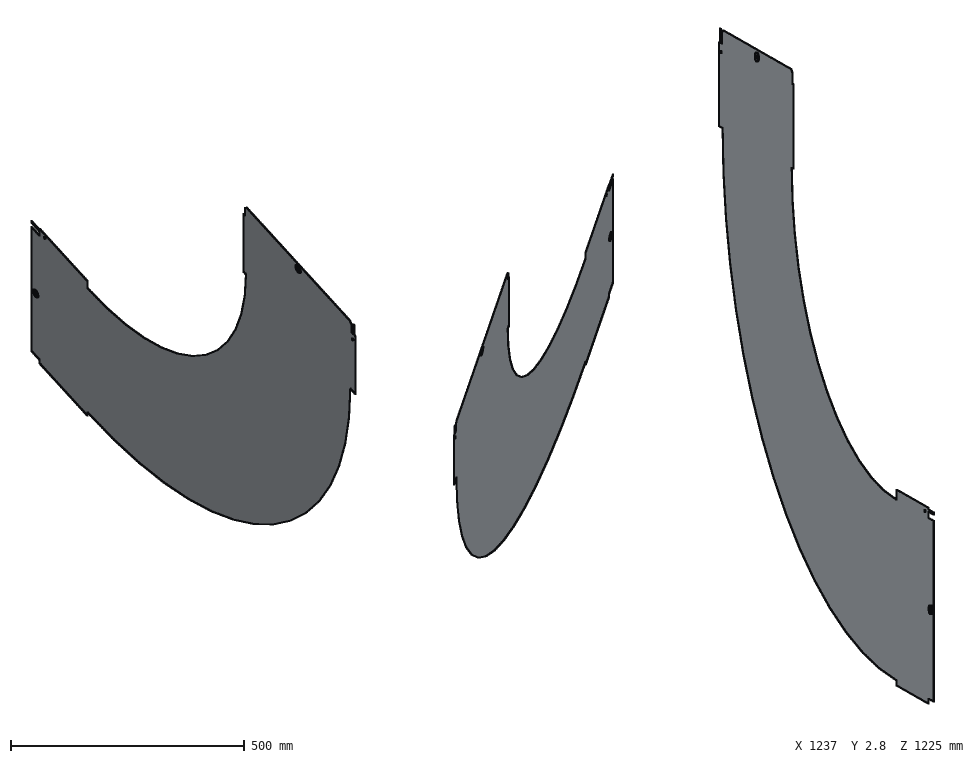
import cadquery as cq
import math

length_x = 1237.0
length_z = 1225.0
plate_thickness = 1.5
overall_thickness = 2.8

inner_radius = 602.0
outer_radius = 1000.0
middle_radius = (inner_radius + outer_radius) / 2

bottom_strip = 11.0
right_strip = 20.0
left_arm_top_strip = 22.0
top_arm_left_strip = 10.0
strip_setback = 31.0
strip_overrun = 2.0
corner_chamfer = 6.0
top_end_widening = 4.0

tab_width = 5.0
tab_inset = 4.0

fastener_diameter = 20.0
fastener_hole_diameter = 7.0
fastener_recess_depth = 0.7
fastener_end_distance = 16.0
pin_hole_diameter = 5.0
pin_hole_end_distance = 51.0
pin_hole_edge_distance = 11.0

left_arm = length_x - outer_radius - right_strip
top_arm = length_z - outer_radius - bottom_strip

left_arm_top = -inner_radius + left_arm_top_strip
left_arm_bottom = -outer_radius - bottom_strip
top_arm_left = inner_radius - top_arm_left_strip
top_arm_right = outer_radius + right_strip

front_y = -overall_thickness / 2
back_y = overall_thickness / 2
plate_back_y = front_y + plate_thickness


def plane_at(y):
    return cq.Workplane("XZ", origin=(0, y, 0))


def plate_box(x_min, x_max, z_min, z_max):
    """Rectangle of plate material between the given edges."""
    centre = ((x_min + x_max) / 2, (z_min + z_max) / 2)
    return plane_at(plate_back_y).center(*centre).rect(x_max - x_min, z_max - z_min).extrude(plate_thickness)


def make_bend():
    """Quarter ring with a straight run to each end, the top one slightly wider and chamfered."""
    end_right = outer_radius + top_end_widening
    end_left = inner_radius - top_end_widening
    end_base = top_arm - strip_setback
    diagonal = math.sqrt(0.5)
    return (
        plane_at(plate_back_y)
        .moveTo(-left_arm, -outer_radius)
        .lineTo(0, -outer_radius)
        .threePointArc((outer_radius * diagonal, -outer_radius * diagonal), (outer_radius, 0))
        .lineTo(outer_radius, end_base)
        .lineTo(end_right, end_base)
        .lineTo(end_right, top_arm - corner_chamfer)
        .lineTo(end_right - corner_chamfer, top_arm)
        .lineTo(end_left + corner_chamfer, top_arm)
        .lineTo(end_left, top_arm - corner_chamfer)
        .lineTo(end_left, end_base)
        .lineTo(inner_radius, end_base)
        .lineTo(inner_radius, 0)
        .threePointArc((inner_radius * diagonal, -inner_radius * diagonal), (0, -inner_radius))
        .lineTo(-left_arm, -inner_radius)
        .close()
        .extrude(plate_thickness)
    )


def make_arm_strips():
    """Widened stretch of each arm, set back from the arm end."""
    left = plate_box(-left_arm + strip_setback, -strip_overrun, left_arm_bottom, left_arm_top)
    top = plate_box(top_arm_left, top_arm_right, -strip_overrun, top_arm - strip_setback)
    return left.union(top)


def make_tabs():
    """Narrow tabs running from the strips to the arm ends."""
    left_tab_top = left_arm_top - tab_inset
    top_tab_right = top_arm_right - tab_inset
    left = plate_box(-left_arm, -left_arm + strip_setback, left_tab_top - tab_width, left_tab_top)
    top = plate_box(top_tab_right - tab_width, top_tab_right, top_arm - strip_setback, top_arm)
    return left.union(top)


fastener_points = [
    (-left_arm + fastener_end_distance, -middle_radius),
    (middle_radius, top_arm - fastener_end_distance),
]
pin_hole_points = [
    (-left_arm + pin_hole_end_distance, left_arm_top - pin_hole_edge_distance),
    (top_arm_right - pin_hole_edge_distance, top_arm - pin_hole_end_distance),
]


def round_bars(points, diameter, y_start=back_y, length=overall_thickness):
    """Round bars running toward -Y, used as bosses and as hole cutters."""
    return plane_at(y_start).pushPoints(points).circle(diameter / 2).extrude(length)


recess_floor_y = front_y + fastener_recess_depth

result = (
    make_bend()
    .union(make_arm_strips())
    .union(make_tabs())
    .union(round_bars(fastener_points, fastener_diameter))
    .cut(round_bars(fastener_points, fastener_diameter, recess_floor_y, fastener_recess_depth))
    .cut(round_bars(fastener_points, fastener_hole_diameter))
    .cut(round_bars(pin_hole_points, pin_hole_diameter))
)